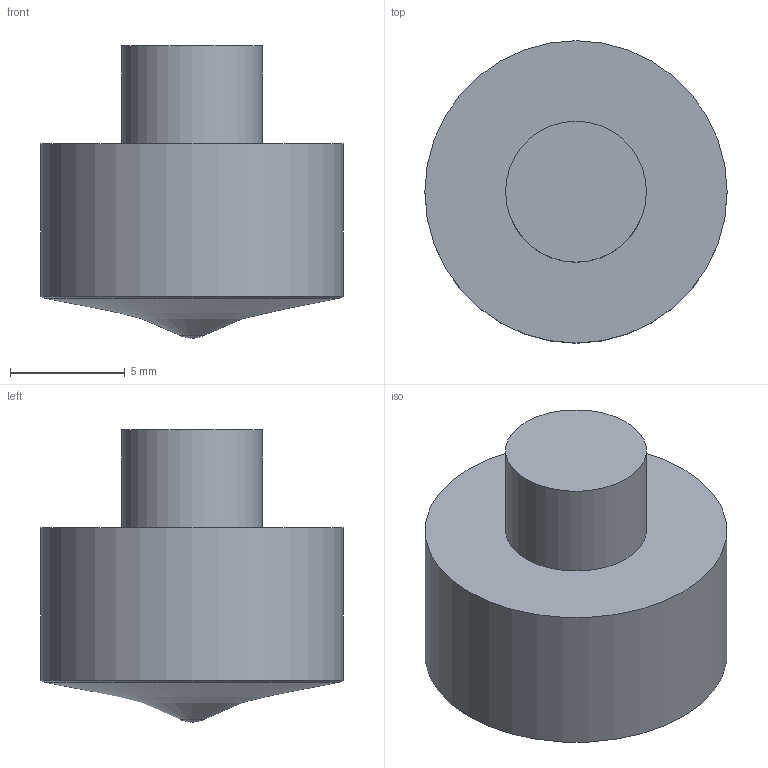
import cadquery as cq
import math

total_height = 12.77
body_diameter = 13.2
pin_diameter = 6.15
pin_length = 4.27

tip_radius = 1.15
tip_slope = math.radians(25.5)
rim_slope = math.radians(11.1)
flare_inner_point = (2.03, 0.79)
flare_outer_point = (3.76, 1.22)

bevel_width = 0.14
bevel_height = 0.08

body_radius = body_diameter / 2
body_top = total_height - pin_length


def tip_point(slope):
    """Point on the spherical tip where its surface rises at the given slope."""
    return tip_radius * math.sin(slope), tip_radius * (1 - math.cos(slope))


def direction(slope):
    """Unit vector that rises outward at the given slope."""
    return math.cos(slope), math.sin(slope)


def make_body():
    """Body and pointed nose, revolved about Z from a half profile of (radius, height) points."""
    rim_radius = body_radius - bevel_width
    rim_height = flare_outer_point[1] + (rim_radius - flare_outer_point[0]) * math.tan(rim_slope)

    profile = (
        cq.Workplane("XZ")
        .moveTo(0, 0)
        .threePointArc(tip_point(tip_slope / 2), tip_point(tip_slope))
        .spline(
            [flare_inner_point, flare_outer_point, (rim_radius, rim_height)],
            tangents=[direction(tip_slope), direction(rim_slope)],
            includeCurrent=True,
        )
        .lineTo(body_radius, rim_height + bevel_height)
        .lineTo(body_radius, body_top)
        .lineTo(0, body_top)
        .close()
    )
    return profile.revolve(360, (0, 0, 0), (0, 1, 0))


def add_pin(body):
    """Plain cylindrical pin standing on the flat top of the body."""
    pin = cq.Workplane("XY").workplane(offset=body_top).circle(pin_diameter / 2).extrude(pin_length)
    return body.union(pin)


result = add_pin(make_body())